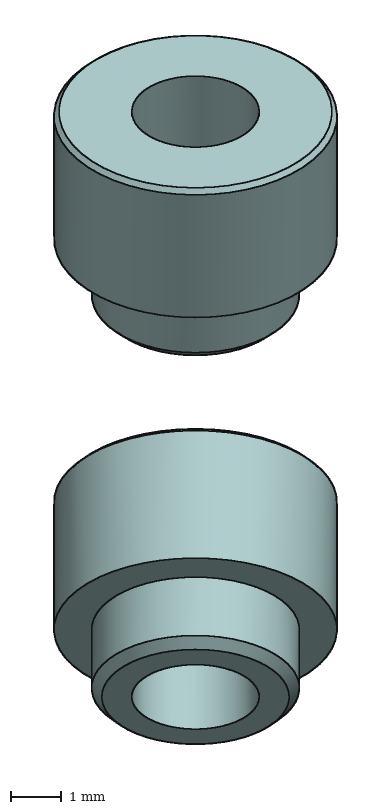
import cadquery as cq

head_diameter = 5.56
spigot_diameter = 4.08
bore_diameter = 2.5
total_height = 4.53
head_height = 3.0
head_chamfer = 0.1
spigot_chamfer = 0.2

spigot_height = total_height - head_height


def make_spigot():
    """Narrow lower cylinder, chamfered at its free end, standing on Z = 0."""
    spigot = cq.Workplane("XY").circle(spigot_diameter / 2).extrude(spigot_height)
    return spigot.faces("<Z").edges().chamfer(spigot_chamfer)


def make_head():
    """Wide upper cylinder with a small chamfer around its top edge."""
    head = cq.Workplane("XY").workplane(offset=spigot_height)
    head = head.circle(head_diameter / 2).extrude(head_height)
    return head.faces(">Z").edges().chamfer(head_chamfer)


def make_bore():
    """Cylinder to cut through the full height of the bushing."""
    return cq.Workplane("XY").circle(bore_diameter / 2).extrude(total_height)


result = make_spigot().union(make_head()).cut(make_bore())